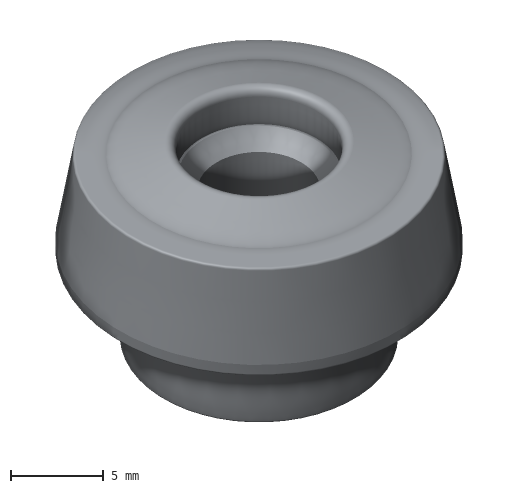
import cadquery as cq
import math

total_height = 13.49
shoulder_z = 12.6
rim_band_top_z = 6.75
flange_bottom_z = 5.96
seat_z = 11.1
seat_cone_bottom_z = 10.12

flange_radius = 11.0
shoulder_radius = 10.03
crown_base_radius = 8.25
stem_top_radius = 7.37
stem_bottom_radius = 7.52
bore_radius = 9.0 / 2
seat_cone_radius = 4.35
hole_radius = 6.65 / 2

edge_fillet = 0.15
mouth_fillet = 0.48
crown_angle = math.radians(15)

selection_margin = 0.02

mouth_centre_radius = bore_radius + mouth_fillet
mouth_centre_z = total_height - mouth_fillet


def mouth_point(angle):
    """Point on the mouth rounding, with the angle measured outward from vertical."""
    return (
        mouth_centre_radius + mouth_fillet * math.sin(angle),
        mouth_centre_z + mouth_fillet * math.cos(angle),
    )


profile = (
    cq.Workplane("XZ")
    .moveTo(hole_radius, 0)
    .lineTo(stem_bottom_radius, 0)
    .lineTo(stem_top_radius, flange_bottom_z)
    .lineTo(flange_radius, flange_bottom_z)
    .lineTo(flange_radius, rim_band_top_z)
    .lineTo(shoulder_radius, shoulder_z)
    .lineTo(crown_base_radius, shoulder_z)
    .lineTo(*mouth_point(crown_angle))
    .threePointArc(mouth_point(0), (bore_radius, mouth_centre_z))
    .lineTo(bore_radius, seat_z)
    .lineTo(seat_cone_radius, seat_z)
    .lineTo(hole_radius, seat_cone_bottom_z)
    .close()
)
body = profile.revolve(360, (0, 0, 0), (0, 1, 0))


def flat_box(reach, z):
    """Selector for everything inside a thin square slab centred on the axis at height z."""
    return cq.selectors.BoxSelector(
        (-reach, -reach, z - selection_margin),
        (reach, reach, z + selection_margin),
        boundingbox=True,
    )


def edge_at(radius, z):
    """Selector for the circular edge of the given radius at height z."""
    return flat_box(radius + selection_margin, z) - flat_box(radius - selection_margin, z)


rounded_edges = [
    (stem_bottom_radius, 0),
    (stem_top_radius, flange_bottom_z),
    (flange_radius, flange_bottom_z),
    (shoulder_radius, shoulder_z),
]
for radius, z in rounded_edges:
    body = body.edges(edge_at(radius, z)).fillet(edge_fillet)

result = body